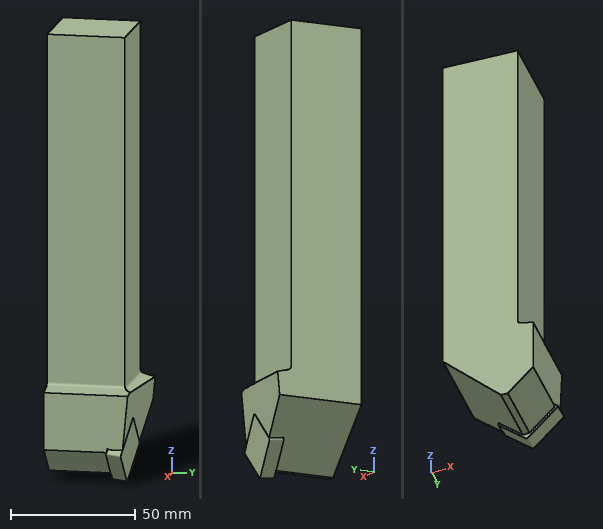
import cadquery as cq
import math

total_height = 183.8
shank_width = 32.0
head_width = 38.6
head_depth = 38.0
ledge_outer_z = 37.7
ledge_angle = 15.0
ledge_fillet = 1.7
nose_z = 3.3
left_flank_top_z = 28.1
nose_right_x = 27.8

insert_side = 19.1
insert_thickness = 6.3
insert_corner_radius = 0.7
back_tilt = 7.5
insert_overhang = insert_corner_radius * (math.sqrt(2) - 1)
insert_tip_x = 27.2

back_slope = math.tan(math.radians(back_tilt)) / math.sqrt(2)
back_normal = (back_slope, 1, -back_slope)
edge_direction = (1, 0, 1)


def back_y(x, z):
    """Y of the tilted back face at a given X and Z."""
    return head_depth - back_slope * (x + ledge_outer_z - z)


def ledge_inner_z(outer_edge):
    """Height at which a ledge meets the shank."""
    return ledge_outer_z + (outer_edge - shank_width) * math.tan(math.radians(ledge_angle))


def make_front_profile():
    right_flank_top_z = nose_z + head_width - nose_right_x
    root_z = ledge_inner_z(head_width)
    profile = (
        cq.Workplane("XZ")
        .moveTo(0, total_height)
        .lineTo(shank_width, total_height)
        .lineTo(shank_width, root_z)
        .lineTo(head_width, ledge_outer_z)
        .lineTo(head_width, right_flank_top_z)
        .lineTo(nose_right_x, nose_z)
        .lineTo(left_flank_top_z - nose_z, nose_z)
        .lineTo(0, left_flank_top_z)
        .close()
        .extrude(-head_depth)
    )
    root = cq.selectors.NearestToPointSelector((shank_width, head_depth / 2, root_z))
    return profile.edges(root).fillet(ledge_fillet)


def make_side_profile():
    root_z = ledge_inner_z(head_depth)
    profile = (
        cq.Workplane("YZ")
        .moveTo(0, 0)
        .lineTo(0, total_height)
        .lineTo(shank_width, total_height)
        .lineTo(shank_width, root_z)
        .lineTo(head_depth, ledge_outer_z)
        .lineTo(head_depth, 0)
        .close()
        .extrude(head_width)
    )
    root = cq.selectors.NearestToPointSelector((head_width / 2, shank_width, root_z))
    return profile.edges(root).fillet(ledge_fillet)


def make_back_cutter():
    """Block lying behind the tilted back face of the head."""
    origin = (0, head_depth, ledge_outer_z)
    plane = cq.Plane(origin=origin, xDir=edge_direction, normal=back_normal)
    return cq.Workplane(plane).rect(total_height, total_height).extrude(head_depth)


def make_insert():
    tip = (insert_tip_x, back_y(insert_tip_x, -insert_overhang), -insert_overhang)
    plane = cq.Plane(origin=tip, xDir=edge_direction, normal=back_normal)
    return (
        cq.Workplane(plane)
        .center(insert_side / 2, -insert_side / 2)
        .rect(insert_side, insert_side)
        .extrude(-insert_thickness)
        .edges(cq.selectors.ParallelDirSelector(cq.Vector(*back_normal)))
        .fillet(insert_corner_radius)
    )


def make_holder(insert):
    blank = make_front_profile().intersect(make_side_profile())
    return blank.cut(make_back_cutter()).cut(insert).solids()


insert = make_insert()
holder = make_holder(insert)

result = cq.Compound.makeCompound([holder.val(), insert.val()])